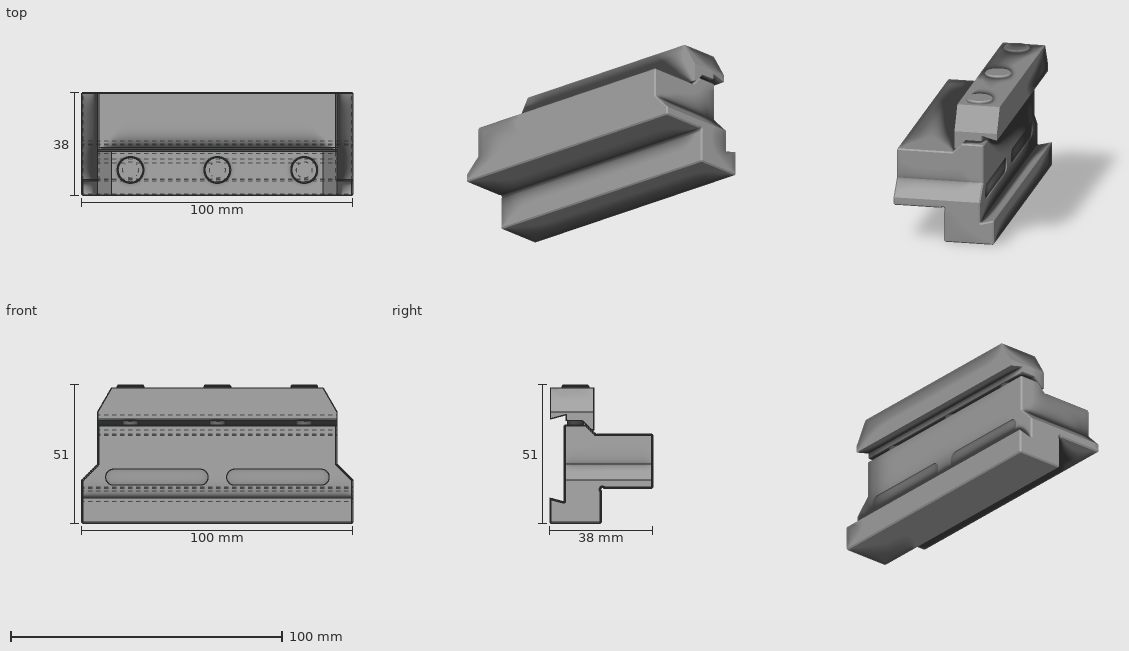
import cadquery as cq
import math

length = 100.0
depth = 38.0
shank_bottom = 13.0
shank_top = 33.0
leg_depth = 19.0
front_face = 5.3
seat_top = 36.4
seat_back = 13.5
lip_height = 9.4
jaw_angle = 15.0
edge_chamfer = 0.5
shoulder_half_width = 44.1
shoulder_low = 16.0

relief_radius = 0.7
jaw_root_radius = 0.3
leg_relief_offset = 0.4
flank_relief_height = 0.6

clamp_front = 0.2
clamp_back = 16.2
clamp_heel = 34.5
clamp_top = 50.0
clamp_underside = 38.0
clamp_jaw_back = 6.0
clamp_jaw_root = 40.1
clamp_end_run = 5.1
clamp_end_angle = 60.0

screw_pitch = 32.0
screw_y = 9.4
screw_diameter = 5.9
screw_engagement = 5.0
head_diameter = 9.9
head_chamfer = 0.4
total_height = 51.0

slot_length = 37.8
slot_width = 5.9
slot_depth = 0.5
slot_z = 17.1
slot_spacing = 44.6

jaw_slope = math.tan(math.radians(jaw_angle))
flank_sum = seat_back + seat_top
shoulder_high = shoulder_low + length / 2 - shoulder_half_width


def jaw_drop(reach):
    """Height change of a jaw face over a distance along Y."""
    return reach * jaw_slope


def extrude_along_x(points, half_width):
    return cq.Workplane("YZ").polyline(points).close().extrude(half_width, both=True)


def mirrored_outline(right_half):
    """Close a right-hand (X, Z) outline with its mirror image."""
    left_half = [(-x, z) for x, z in reversed(right_half)]
    return cq.Workplane("XZ").polyline(right_half + left_half).close().extrude(-depth)


def make_relief(y, z):
    return cq.Workplane("YZ").center(y, z).circle(relief_radius).extrude(length, both=True)


def make_body():
    section = extrude_along_x(
        [
            (0, 0),
            (leg_depth, 0),
            (leg_depth, shank_bottom),
            (depth, shank_bottom),
            (depth, shank_top),
            (flank_sum - shank_top, shank_top),
            (seat_back, seat_top),
            (front_face, seat_top),
            (front_face, lip_height - jaw_drop(front_face)),
            (0, lip_height),
        ],
        length / 2,
    )
    jaw_root = cq.selectors.NearestToPointSelector((0, front_face, lip_height - jaw_drop(front_face)))
    section = section.edges(jaw_root).fillet(jaw_root_radius)
    outline = mirrored_outline(
        [
            (length / 2, 0),
            (length / 2, shoulder_low),
            (shoulder_half_width, shoulder_high),
            (shoulder_half_width, seat_top),
        ]
    )
    flank_relief_z = shank_top + flank_relief_height
    flank_relief_y = flank_sum - flank_relief_z + relief_radius * math.sqrt(2)
    body = (
        section.intersect(outline)
        .cut(make_relief(leg_depth + leg_relief_offset, shank_bottom - leg_relief_offset))
        .cut(make_relief(flank_relief_y, flank_relief_z))
    )
    return chamfer_body(body)


def is_shoulder_bend(edge):
    """True for an edge along Y where a shoulder slope meets an upright end face."""
    box = edge.BoundingBox()
    is_level = box.zlen < edge_chamfer
    at_bend = min(abs(box.center.z - shoulder_low), abs(box.center.z - shoulder_high)) < edge_chamfer
    return is_level and at_bend


def chamfer_body(body):
    """Break the outer edges, except the shoulder bends, lip tip, seat back and inner corners."""
    lengthwise = body.faces("<Z").edges("|X").add(body.faces(">Y").edges("|X"))
    seat_front = body.faces(">Z").edges("|X").edges("<Y")
    end_edges = body.edges("not |X").filter(lambda edge: not is_shoulder_bend(edge))
    outer_edges = lengthwise.add(seat_front).add(end_edges)
    return outer_edges.chamfer(edge_chamfer)


def make_clamp():
    bar = extrude_along_x(
        [
            (clamp_front, clamp_top),
            (clamp_back, clamp_top),
            (clamp_back, clamp_heel),
            (flank_sum - clamp_heel, clamp_heel),
            (flank_sum - clamp_underside, clamp_underside),
            (clamp_jaw_back, clamp_underside),
            (clamp_jaw_back, clamp_jaw_root),
            (clamp_front, clamp_jaw_root - jaw_drop(clamp_jaw_back - clamp_front)),
        ],
        shoulder_half_width,
    )
    end_drop = clamp_end_run * math.tan(math.radians(clamp_end_angle))
    outline = mirrored_outline(
        [
            (shoulder_half_width, 0),
            (shoulder_half_width, clamp_top - end_drop),
            (shoulder_half_width - clamp_end_run, clamp_top),
        ]
    )
    return bar.intersect(outline)


def make_screw(x):
    base = cq.Workplane("XY").center(x, screw_y)
    shank_base = seat_top - screw_engagement
    shank = base.workplane(offset=shank_base).circle(screw_diameter / 2).extrude(clamp_top - shank_base)
    head = base.workplane(offset=clamp_top).circle(head_diameter / 2).extrude(total_height - clamp_top)
    return shank.union(head.faces(">Z").chamfer(head_chamfer))


def make_slots():
    return (
        cq.Workplane("XZ", origin=(0, front_face, slot_z))
        .rarray(slot_spacing, 1, 2, 1)
        .slot2D(slot_length, slot_width)
        .extrude(-slot_depth)
    )


result = make_body().cut(make_slots()).union(make_clamp())
for screw_x in (-screw_pitch, 0, screw_pitch):
    result = result.union(make_screw(screw_x))